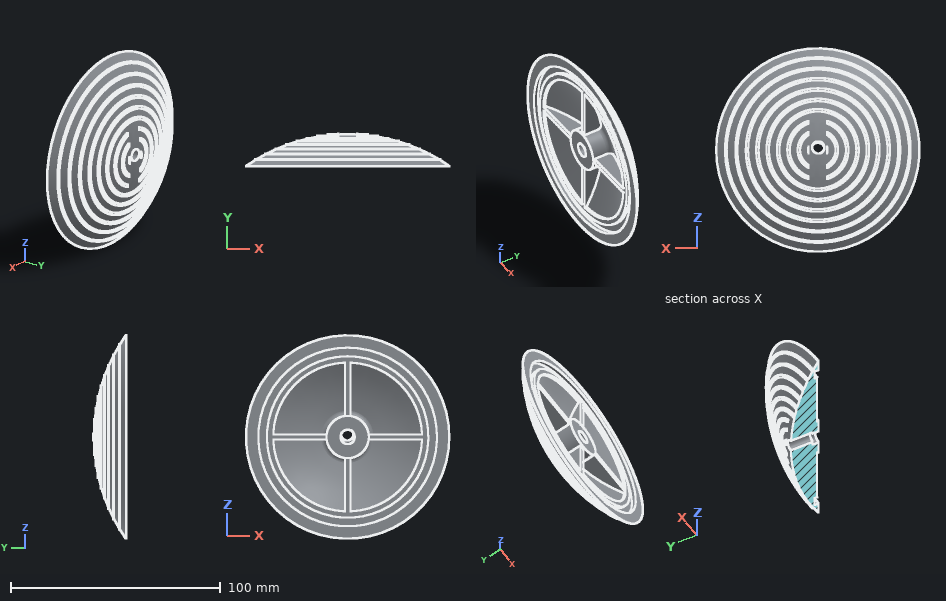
import cadquery as cq
import math

overall_diameter = 97.09
overall_depth = 15.88
rim_height = 0.3

ring_height = 0.5
ring_width = 1.2
ring_pitch = 4.95
ring_count = 9
outermost_ring_radius = 44.3
ring_gap_width = 8.8
ring_gap_length = 34.0

groove_outer_radius = 42.6
groove_inner_radius = 38.5
groove_depth = 2.3
lip_setback = 0.75

cavity_radius = 35.5
cavity_depth = 11.1
cavity_wall_height = 1.0
hub_radius = 10.1
hub_fillet_radius = 2.0
rib_thickness = 2.6

bore_radius = 3.4
bore_depth = 3.3
exit_hole_radius = 2.9
exit_hole_offset_x = -0.2
exit_hole_offset_z = 1.25

outer_radius = overall_diameter / 2
innermost_ring_radius = outermost_ring_radius - (ring_count - 1) * ring_pitch


def cap_height(radius, base_radius, base_y, apex_y):
    """Y of a spherical cap at a given distance from the axis."""
    rise = apex_y - base_y
    sphere_radius = (base_radius**2 + rise**2) / (2 * rise)
    return apex_y - sphere_radius + math.sqrt(sphere_radius**2 - radius**2)


def apex_through(radius, y, base_radius, base_y):
    """Apex Y of the spherical cap that passes through the point (radius, y)."""
    centre_y = (radius**2 + y**2 - base_radius**2 - base_y**2) / (2 * (y - base_y))
    return centre_y + math.hypot(base_radius, base_y - centre_y)


dome_apex = apex_through(innermost_ring_radius, overall_depth - ring_height, outer_radius, rim_height)


def cylinder(radius, start_y, end_y, x=0.0, z=0.0):
    """Solid cylinder along Y."""
    start = cq.Vector(x, start_y, z)
    return cq.Workplane(cq.Solid.makeCylinder(radius, end_y - start_y, start, cq.Vector(0, 1, 0)))


def annulus(outer, inner, start_y, end_y):
    """Ring of rectangular section around Y."""
    return cylinder(outer, start_y, end_y).cut(cylinder(inner, start_y, end_y))


def capped_cylinder(base_radius, base_y, apex_y):
    """Cylinder along Y from the open face, closed by a spherical cap."""
    middle_radius = base_radius / 2
    middle_y = cap_height(middle_radius, base_radius, base_y, apex_y)
    return (
        cq.Workplane("XY")
        .lineTo(base_radius, 0)
        .lineTo(base_radius, base_y)
        .threePointArc((middle_radius, middle_y), (0, apex_y))
        .close()
        .revolve(360, (0, 0, 0), (0, 1, 0))
    )


def raised_ring(radius):
    """Flat-topped ring whose outer wall stands ring_height above the dome."""
    dome_y = cap_height(radius, outer_radius, rim_height, dome_apex)
    return annulus(radius, radius - ring_width, dome_y - ring_height, dome_y + ring_height)


def add_rings(dome):
    """Concentric rings; the ones near the apex are interrupted by a gap along Z."""
    gap = cq.Workplane("XY").box(ring_gap_width, 2 * overall_depth, ring_gap_length)
    for index in range(ring_count):
        ring = raised_ring(outermost_ring_radius - index * ring_pitch)
        dome = dome.union(ring.cut(gap))
    return dome


def cavity():
    """Space inside the dish around the hub, split into four pockets by the ribs."""
    space = capped_cylinder(cavity_radius, lip_setback + cavity_wall_height, cavity_depth)
    space = space.cut(cylinder(hub_radius, 0, overall_depth))
    hub_root = cq.selectors.BoxSelector(
        (-cavity_radius, cavity_depth / 2, -cavity_radius),
        (cavity_radius, cavity_depth, cavity_radius),
    )
    space = space.edges(hub_root).fillet(hub_fillet_radius)
    rib_height = overall_depth - lip_setback
    rib = (
        cq.Workplane("XY")
        .box(2 * cavity_radius, rib_height, rib_thickness)
        .translate((0, lip_setback + rib_height / 2, 0))
    )
    cross_rib = rib.rotate((0, 0, 0), (0, 1, 0), 90)
    return space.cut(rib).cut(cross_rib)


def face_recesses():
    """Groove inside the flange, and the setback of the lip and the ribs behind the hub face."""
    groove = annulus(groove_outer_radius, groove_inner_radius, 0, groove_depth)
    setback = annulus(groove_outer_radius, hub_radius, 0, lip_setback)
    return groove.union(setback)


def hub_hole():
    """Bore from the open face and the off-centre hole that continues it."""
    bore = cylinder(bore_radius, 0, bore_depth)
    exit_hole = cylinder(
        exit_hole_radius, bore_depth, overall_depth, exit_hole_offset_x, exit_hole_offset_z
    )
    return bore.union(exit_hole)


dish = add_rings(capped_cylinder(outer_radius, rim_height, dome_apex))
result = dish.cut(cavity()).cut(face_recesses()).cut(hub_hole())